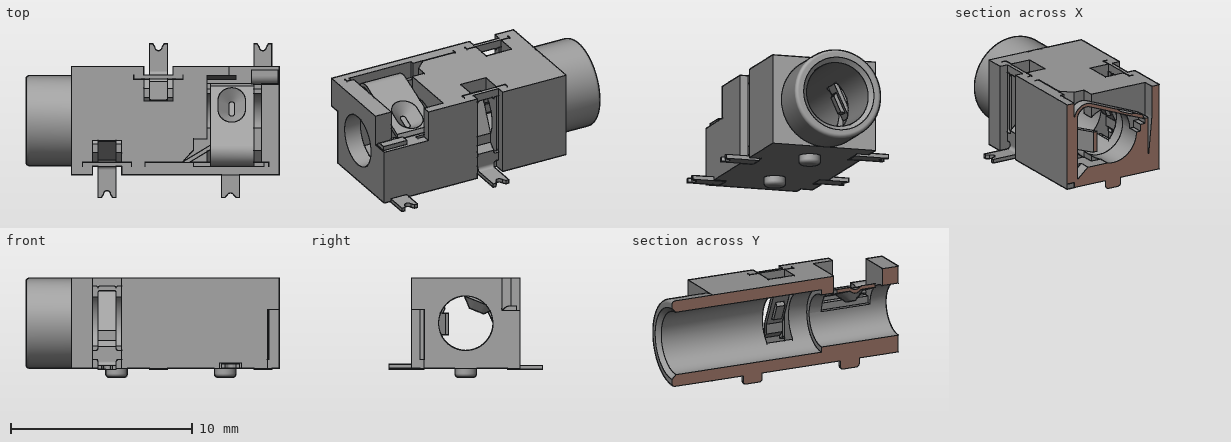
import cadquery as cq
import math


LENGTH = 14.0
BODY_WIDTH = 6.0
BODY_HEIGHT = 5.0
HALF_WIDTH = BODY_WIDTH / 2
AXIS_Z = BODY_HEIGHT / 2
NOSE_LENGTH = 2.5
NOSE_RADIUS = BODY_HEIGHT / 2
NOSE_ROUND = 0.2
MOUTH_CHAMFER = 0.25
FRONT_BORE_RADIUS = 1.8
FRONT_BORE_END = 9.24
REAR_BORE_RADIUS = 1.5

PEG_CENTRES_X = (5.0, 11.0)
PEG_RADIUS = 0.6
PEG_LENGTH = 0.5
PEG_ROUND = 0.2

SHEET = 0.22
SLOT_CLEARANCE = 0.04
PLATE_OUTER_Y = 2.53
PLATE_INNER_Y = PLATE_OUTER_Y - SHEET
SLOT_INNER_Y = PLATE_INNER_Y - SLOT_CLEARANCE
PLATE_BOTTOM = 0.5
LEAD_TIP_Y = 4.25
LEAD_WIDTH = 1.0
LEAD_BOTTOM = -0.05
LEAD_BEND_RADIUS = 0.2
NOTCH_WIDTH = 0.62
NOTCH_DEPTH = 0.38
NOTCH_THROAT_WIDTH = 0.38

SIDE_CONTACTS = ((4.475, -1), (7.315, 1))
SIDE_PLATE_WIDTH = 2.69
RECESS_WIDTH = 1.6
POCKET_INNER_Y = 1.09
POCKET_LEDGE_Y = 1.28
POCKET_RAMP_Y = 1.77
WINDOW_BOTTOM = 1.0
WINDOW_TOP = 4.55
WINDOW_ROUND = 0.12
FOOT_ROUND = 0.15
TONGUE_ROOT_Z = 1.2
TONGUE_FOOT_Y = 2.16
TONGUE_FOOT_Z = 1.53
TONGUE_KNEE = (TONGUE_FOOT_Y, 2.1)
TONGUE_TIP = (1.15, 4.3)
TONGUE_TIP_ROUND = 0.12
RIDGE_START = 0.15
RIDGE_END = 0.55
RIDGE_HEIGHT = 0.2

CAVITY_FRONT = 10.0
CAVITY_REAR = 13.0
CAVITY_FLOOR = 1.05
CAVITY_FLOOR_Y = -1.65
CAVITY_FLOOR_INNER_Y = -0.4
CAVITY_SIDE_Y = 1.75
CAVITY_TOP_Y = 2.5
CAVITY_LEDGE_Y = 2.06
CAVITY_LEDGE_Z = 2.9
GROOVE_INNER_Y = 2.27
GROOVE_BOTTOM = 0.8
GROOVE_END = 11.6
SHELF_Z = 3.2
CORNER_START = 11.2
CORNER_INNER_Y = 2.0
STEP_X = FRONT_BORE_END
STEP_Y = -1.0
STEP_KNEE_Y = -1.64
STEP_TAPER_X = 8.65
REAR_NOTCH_X = 13.33
REAR_NOTCH_TOP = 3.25
REAR_NOTCH_DEPTH = 0.7

REAR_PLATE_X = (6.58, 13.4)
REAR_PLATE_OPENING_X = (STEP_X, 13.15)
REAR_PLATE_LOW_TOP = 4.0
SPRING_X = (10.18, 12.58)
SPRING_TANGENT_Y = -1.42
SPRING_END_Y = 1.92
SPRING_END_BEVEL = 0.12
SPRING_AXIS_Z = 4.2
SPRING_SLOPE = 0.4
DIMPLE_X = 11.36
DIMPLE_Y = 0.87
DIMPLE_LENGTH = 2.05
DIMPLE_WIDTH = 1.52
DIMPLE_DEPTH = 0.6
DIMPLE_TAPER = 45
DIMPLE_WALL = 0.14
ARM_START = (8.7, -2.25)
ARM_TIP = (10.85, -0.94)
ARM_BOTTOM = 1.85
ARM_TOP = 3.05
REAR_LEAD_X = 11.295
REAR_LEAD_HOLE_WIDTH = 1.23
REAR_LEAD_HOLE_HEIGHT = 0.3
REAR_LEAD_BOTTOM = 0.02
REAR_LEAD_NOTCH_DEPTH = 0.25

CORNER_CONTACT_X = (12.45, 13.93)
CORNER_CONTACT_OUTER_Y = 2.8
CORNER_CONTACT_BEND_Y = 2.45
CORNER_CONTACT_TOP = 3.45
CORNER_LEAD_X = 13.08


def box(x_range, y_range, z_range):
    """Axis-aligned block from two limits per axis, in either order."""
    sizes = [abs(b - a) for a, b in (x_range, y_range, z_range)]
    low = tuple(min(limits) for limits in (x_range, y_range, z_range))
    return cq.Workplane("XY").box(*sizes, centered=False).translate(low)


def span(centre, width):
    return (centre - width / 2, centre + width / 2)


def extrude_along_x(points, x_range):
    """Prism along X from a closed (y, z) outline."""
    start, end = x_range
    return cq.Workplane("YZ", origin=(start, 0, 0)).polyline(points).close().extrude(end - start)


def rod_along_x(radius, x_range):
    start, end = x_range
    return cq.Workplane("YZ", origin=(start, 0, AXIS_Z)).circle(radius).extrude(end - start)


def make_shell():
    body = box((NOSE_LENGTH, LENGTH), (-HALF_WIDTH, HALF_WIDTH), (0, BODY_HEIGHT))
    nose = rod_along_x(NOSE_RADIUS, (0, NOSE_LENGTH)).faces("<X").edges().fillet(NOSE_ROUND)
    shell = body.union(nose)
    shell = shell.cut(rod_along_x(FRONT_BORE_RADIUS, (0, FRONT_BORE_END)))
    shell = shell.cut(rod_along_x(REAR_BORE_RADIUS, (FRONT_BORE_END, LENGTH)))
    mouth = cq.Workplane(cq.Solid.makeCone(
        FRONT_BORE_RADIUS + MOUTH_CHAMFER, FRONT_BORE_RADIUS, MOUTH_CHAMFER,
        cq.Vector(0, 0, AXIS_Z), cq.Vector(1, 0, 0)))
    return shell.cut(mouth)


def make_peg(x):
    peg = cq.Workplane("XY").center(x, 0).circle(PEG_RADIUS).extrude(-PEG_LENGTH)
    return peg.faces("<Z").edges().fillet(PEG_ROUND)


def make_lead(x, side, root_y, bottom=LEAD_BOTTOM, notch_depth=NOTCH_DEPTH):
    """Flat solder lead with a flared, round-bottomed notch in its tip."""
    lead = box(span(x, LEAD_WIDTH), (side * root_y, side * LEAD_TIP_Y), (bottom, bottom + SHEET))
    tip_y = side * LEAD_TIP_Y
    throat_y = tip_y - side * notch_depth / 2
    notch = (
        cq.Workplane("XY", origin=(0, 0, bottom))
        .moveTo(x - NOTCH_WIDTH / 2, tip_y)
        .lineTo(x - NOTCH_THROAT_WIDTH / 2, throat_y)
        .threePointArc((x, tip_y - side * notch_depth), (x + NOTCH_THROAT_WIDTH / 2, throat_y))
        .lineTo(x + NOTCH_WIDTH / 2, tip_y)
        .close()
        .extrude(SHEET)
    )
    return lead.cut(notch)


def plate_slot(x_range, side, bottom):
    """Top-entry slot that a contact plate stands in, loose on its inner face."""
    start, end = x_range
    wide = (start - SLOT_CLEARANCE / 2, end + SLOT_CLEARANCE / 2)
    return box(wide, (side * SLOT_INNER_Y, side * PLATE_OUTER_Y), (bottom, BODY_HEIGHT))


def side_contact_cuts(x, side):
    recess = box(span(x, RECESS_WIDTH), (side * PLATE_OUTER_Y, side * HALF_WIDTH), (0, BODY_HEIGHT))
    pocket_outline = [
        (POCKET_INNER_Y, BODY_HEIGHT),
        (POCKET_INNER_Y, AXIS_Z),
        (POCKET_LEDGE_Y, AXIS_Z),
        (POCKET_LEDGE_Y, WINDOW_BOTTOM),
        (POCKET_RAMP_Y, WINDOW_BOTTOM),
        (SLOT_INNER_Y, PLATE_BOTTOM),
        (SLOT_INNER_Y, BODY_HEIGHT),
    ]
    pocket = extrude_along_x([(side * y, z) for y, z in pocket_outline], span(x, RECESS_WIDTH))
    foot_relief = box(
        span(x, RECESS_WIDTH), (side * PLATE_INNER_Y, side * PLATE_OUTER_Y), (0, PLATE_BOTTOM))
    plate_seat = plate_slot(span(x, SIDE_PLATE_WIDTH), side, PLATE_BOTTOM)
    return recess.union(pocket).union(foot_relief).union(plate_seat)


def make_tongue(x, side):
    """Spring tongue leaning from the foot of the window in towards the bore, with a ridge on its inside."""
    knee_y, knee_z = TONGUE_KNEE
    tip_y, tip_z = TONGUE_TIP
    length = math.hypot(tip_y - knee_y, tip_z - knee_z)
    lean_y = (tip_y - knee_y) / length
    lean_z = (tip_z - knee_z) / length

    def on_tongue(fraction, inset):
        along = fraction * length
        y = knee_y + lean_y * along - lean_z * inset
        return (side * y, knee_z + lean_z * along + lean_y * inset)

    outline = [
        (side * PLATE_OUTER_Y, WINDOW_BOTTOM),
        (side * PLATE_OUTER_Y, TONGUE_ROOT_Z),
        (side * TONGUE_FOOT_Y, TONGUE_FOOT_Z),
        (side * TONGUE_FOOT_Y, knee_z),
        on_tongue(1, 0),
        on_tongue(1, SHEET),
        (side * (TONGUE_FOOT_Y - SHEET), knee_z),
        (side * (TONGUE_FOOT_Y - SHEET), TONGUE_FOOT_Z),
        (side * PLATE_INNER_Y, TONGUE_ROOT_Z),
        (side * PLATE_INNER_Y, WINDOW_BOTTOM),
    ]
    tongue = extrude_along_x(outline, span(x, LEAD_WIDTH))
    rounded_face = box(span(x, LEAD_WIDTH), (0, side * HALF_WIDTH), (WINDOW_BOTTOM, tip_z))
    tongue = tongue.intersect(rounded_face.edges("|Y and >Z").fillet(TONGUE_TIP_ROUND))
    ridge_inset = SHEET + RIDGE_HEIGHT
    ridge_run = RIDGE_HEIGHT / length
    ridge = extrude_along_x([
        on_tongue(RIDGE_START, SHEET / 2),
        on_tongue(RIDGE_START + ridge_run, ridge_inset),
        on_tongue(RIDGE_END + ridge_run, ridge_inset),
        on_tongue(RIDGE_END + 2 * ridge_run, SHEET / 2),
    ], span(x, LEAD_WIDTH / 2))
    return tongue.union(ridge)


def make_side_contact(x, side):
    plate_y = (side * PLATE_INNER_Y, side * PLATE_OUTER_Y)
    plate = box(span(x, SIDE_PLATE_WIDTH), plate_y, (PLATE_BOTTOM, BODY_HEIGHT))
    left = x - RECESS_WIDTH / 2 - WINDOW_ROUND
    right = x + RECESS_WIDTH / 2 + WINDOW_ROUND
    tongue_left, tongue_right = span(x, LEAD_WIDTH)
    for opening_x in ((left, tongue_left), (tongue_left, tongue_right), (tongue_right, right)):
        opening = box(opening_x, plate_y, (WINDOW_BOTTOM, WINDOW_TOP))
        plate = plate.cut(opening.edges("|Y").fillet(WINDOW_ROUND))
    foot = box(span(x, LEAD_WIDTH), plate_y, (LEAD_BOTTOM, PLATE_BOTTOM))
    foot_corners = cq.selectors.BoxSelector(
        (tongue_left - FOOT_ROUND, -HALF_WIDTH, PLATE_BOTTOM - FOOT_ROUND),
        (tongue_right + FOOT_ROUND, HALF_WIDTH, PLATE_BOTTOM + FOOT_ROUND))
    plate = plate.union(foot).edges("|Y").edges(foot_corners).fillet(FOOT_ROUND)
    lead = make_lead(x, side, PLATE_INNER_Y)
    lead_top = LEAD_BOTTOM + SHEET
    bend = (
        cq.Workplane("YZ", origin=(x - LEAD_WIDTH / 2, 0, 0))
        .moveTo(side * PLATE_OUTER_Y, lead_top)
        .lineTo(side * (PLATE_OUTER_Y + LEAD_BEND_RADIUS), lead_top)
        .radiusArc((side * PLATE_OUTER_Y, lead_top + LEAD_BEND_RADIUS), side * LEAD_BEND_RADIUS)
        .close()
        .extrude(LEAD_WIDTH)
    )
    return plate.union(lead).union(bend).union(make_tongue(x, side))


def rear_cavity():
    cavity_x = (CAVITY_FRONT, CAVITY_REAR)
    cavity = extrude_along_x([
        (-SLOT_INNER_Y, BODY_HEIGHT),
        (-SLOT_INNER_Y, PLATE_BOTTOM),
        (CAVITY_FLOOR_Y, CAVITY_FLOOR),
        (CAVITY_FLOOR_INNER_Y, CAVITY_FLOOR),
        (CAVITY_FLOOR_INNER_Y, AXIS_Z),
        (CAVITY_SIDE_Y, AXIS_Z),
        (CAVITY_SIDE_Y, CAVITY_LEDGE_Z),
        (CAVITY_LEDGE_Y, CAVITY_LEDGE_Z),
        (CAVITY_LEDGE_Y, SHELF_Z),
        (CAVITY_TOP_Y, SHELF_Z),
        (CAVITY_TOP_Y, BODY_HEIGHT),
    ], cavity_x)
    side_groove = extrude_along_x([
        (CAVITY_TOP_Y, SHELF_Z),
        (GROOVE_INNER_Y, GROOVE_BOTTOM),
        (GROOVE_INNER_Y, SHELF_Z),
    ], (CAVITY_FRONT, GROOVE_END))
    arm_pocket = (
        cq.Workplane("XY", origin=(0, 0, CAVITY_FLOOR))
        .polyline([
            (CAVITY_FRONT, STEP_Y),
            (STEP_X, STEP_Y),
            (STEP_X, STEP_KNEE_Y),
            (STEP_TAPER_X, -SLOT_INNER_Y),
            (CAVITY_FRONT, -SLOT_INNER_Y),
        ])
        .close()
        .extrude(BODY_HEIGHT - CAVITY_FLOOR)
    )
    open_corner = box((CORNER_START, LENGTH), (CORNER_INNER_Y, HALF_WIDTH), (SHELF_Z, BODY_HEIGHT))
    rear_slot = plate_slot(REAR_PLATE_X, -1, PLATE_BOTTOM)
    return cavity.union(side_groove).union(arm_pocket).union(open_corner).union(rear_slot)


def rear_outside_cuts():
    notch = box(
        (REAR_NOTCH_X, LENGTH), (-HALF_WIDTH, -HALF_WIDTH + REAR_NOTCH_DEPTH), (0, REAR_NOTCH_TOP))
    lead_hole = box(
        span(REAR_LEAD_X, REAR_LEAD_HOLE_WIDTH), (-HALF_WIDTH, -PLATE_OUTER_Y), (0, REAR_LEAD_HOLE_HEIGHT))
    return notch.union(lead_hole)


def make_top_spring():
    """Strip rising from the rear plate, bent over and sloping down across the bore, with a pressed dimple."""
    start, end = SPRING_X
    tilt = math.atan(SPRING_SLOPE)
    outer_radius = (SPRING_TANGENT_Y + PLATE_OUTER_Y) / (1 + math.sin(tilt))
    inner_radius = outer_radius - SHEET
    centre_y = outer_radius - PLATE_OUTER_Y
    centre_z = SPRING_AXIS_Z - SPRING_SLOPE * SPRING_TANGENT_Y - outer_radius * math.cos(tilt)
    mid_angle = (math.pi + math.pi / 2 - tilt) / 2

    def on_bend(radius, angle):
        return (centre_y + radius * math.cos(angle), centre_z + radius * math.sin(angle))

    def top_at(y):
        return SPRING_AXIS_Z - SPRING_SLOPE * y

    flat_angle = math.pi / 2 - tilt
    end_top = (SPRING_END_Y, top_at(SPRING_END_Y))
    end_bottom_y = SPRING_END_Y + SPRING_END_BEVEL
    end_bottom = (end_bottom_y, top_at(end_bottom_y) - SHEET / math.cos(tilt))
    strip = (
        cq.Workplane("YZ", origin=(start, 0, 0))
        .moveTo(-PLATE_OUTER_Y, AXIS_Z)
        .lineTo(*on_bend(outer_radius, math.pi))
        .threePointArc(on_bend(outer_radius, mid_angle), on_bend(outer_radius, flat_angle))
        .lineTo(*end_top)
        .lineTo(*end_bottom)
        .lineTo(*on_bend(inner_radius, flat_angle))
        .threePointArc(on_bend(inner_radius, mid_angle), on_bend(inner_radius, math.pi))
        .lineTo(-PLATE_INNER_Y, AXIS_Z)
        .close()
        .extrude(end - start)
    )
    dimple_plane = cq.Plane(
        origin=(DIMPLE_X, DIMPLE_Y, top_at(DIMPLE_Y)),
        xDir=(0, math.cos(tilt), -math.sin(tilt)),
        normal=(0, -math.sin(tilt), -math.cos(tilt)))
    hollow = (
        cq.Workplane(dimple_plane)
        .slot2D(DIMPLE_LENGTH, DIMPLE_WIDTH)
        .extrude(DIMPLE_DEPTH, taper=DIMPLE_TAPER)
    )
    bulge = (
        cq.Workplane(dimple_plane)
        .workplane(offset=DIMPLE_WALL)
        .slot2D(DIMPLE_LENGTH, DIMPLE_WIDTH)
        .extrude(DIMPLE_DEPTH, taper=DIMPLE_TAPER)
    )
    return strip.union(bulge).cut(hollow)


def make_switch_arm():
    """Upright arm leaning from the rear plate in towards the bore."""
    start_x, start_y = ARM_START
    tip_x, tip_y = ARM_TIP
    length = math.hypot(tip_x - start_x, tip_y - start_y)
    offset_x = SHEET * (tip_y - start_y) / length
    offset_y = -SHEET * (tip_x - start_x) / length
    return (
        cq.Workplane("XY", origin=(0, 0, ARM_BOTTOM))
        .polyline([
            (start_x, start_y),
            (tip_x, tip_y),
            (tip_x + offset_x, tip_y + offset_y),
            (start_x + offset_x, start_y + offset_y),
        ])
        .close()
        .extrude(ARM_TOP - ARM_BOTTOM)
    )


def make_rear_contact():
    plate_y = (-PLATE_OUTER_Y, -PLATE_INNER_Y)
    plate = box(REAR_PLATE_X, plate_y, (PLATE_BOTTOM, BODY_HEIGHT))
    plate = plate.cut(box(REAR_PLATE_OPENING_X, plate_y, (REAR_PLATE_LOW_TOP, BODY_HEIGHT)))
    lead = make_lead(REAR_LEAD_X, -1, PLATE_INNER_Y, REAR_LEAD_BOTTOM, REAR_LEAD_NOTCH_DEPTH)
    return plate.union(make_top_spring()).union(make_switch_arm()).union(lead)


def make_corner_contact():
    start, end = CORNER_CONTACT_X
    bend_radius = CORNER_CONTACT_BEND_Y - CORNER_INNER_Y
    lip_z = CORNER_CONTACT_TOP - bend_radius
    strip = (
        cq.Workplane("YZ", origin=(start, 0, 0))
        .moveTo(CORNER_CONTACT_OUTER_Y, lip_z)
        .lineTo(CORNER_CONTACT_OUTER_Y, CORNER_CONTACT_TOP)
        .lineTo(CORNER_CONTACT_BEND_Y, CORNER_CONTACT_TOP)
        .radiusArc((CORNER_INNER_Y, lip_z), -bend_radius)
        .close()
        .extrude(end - start)
    )
    return strip.union(make_lead(CORNER_LEAD_X, 1, PLATE_INNER_Y))


result = make_shell().cut(rear_cavity()).cut(rear_outside_cuts())
for contact_x, contact_side in SIDE_CONTACTS:
    result = result.cut(side_contact_cuts(contact_x, contact_side))
for contact_x, contact_side in SIDE_CONTACTS:
    result = result.union(make_side_contact(contact_x, contact_side))
result = result.union(make_rear_contact()).union(make_corner_contact())
for peg_x in PEG_CENTRES_X:
    result = result.union(make_peg(peg_x))